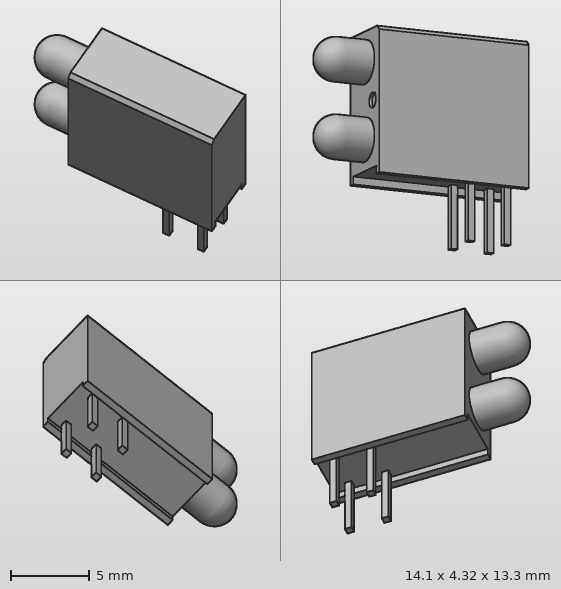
import cadquery as cq

housing_length = 10.56
housing_width = 4.32
housing_height = 9.65
edge_chamfer = 0.3

skirt_wall = 0.48
channel_depth = 0.5
channel_width = housing_width - 2 * skirt_wall

lamp_radius = 1.45
lamp_projection = 3.5
lamp_pitch = 5.08
lower_lamp_z = 2.55
lamp_heights = [lower_lamp_z, lower_lamp_z + lamp_pitch]

recess_diameter = 1.0
recess_depth = 0.2
recess_y = -1.16
recess_z = 4.92

pin_size = 0.46
pin_pitch = 2.54
pin_drop = 3.68
rear_pin_x = 9.36
pin_length = pin_drop + channel_depth
pin_positions = [
    (x, y)
    for x in (rear_pin_x - pin_pitch, rear_pin_x)
    for y in (-pin_pitch / 2, pin_pitch / 2)
]


def make_housing():
    """Block with one chamfered top edge, a bottom channel and a front recess."""
    block = (
        cq.Workplane("XY")
        .box(housing_length, housing_width, housing_height, centered=(False, True, False))
        .edges("<Y and >Z")
        .chamfer(edge_chamfer)
    )
    channel = cq.Workplane("XY").box(
        housing_length, channel_width, channel_depth, centered=(False, True, False)
    )
    recess = (
        cq.Workplane("YZ")
        .center(recess_y, recess_z)
        .circle(recess_diameter / 2)
        .extrude(recess_depth)
    )
    return block.cut(channel).cut(recess)


def make_lamp(height):
    """Lamp pointing toward -X, its axis at the given height."""
    dome_start_x = lamp_radius - lamp_projection
    half_profile = (
        cq.Workplane("XY")
        .lineTo(0, -lamp_radius)
        .lineTo(dome_start_x, -lamp_radius)
        .radiusArc((-lamp_projection, 0), lamp_radius)
        .close()
    )
    lamp = half_profile.revolve(360, (0, 0, 0), (1, 0, 0))
    return lamp.translate((0, 0, height))


def make_pin(x, y):
    """Straight square pin centred on the given X and Y."""
    return (
        cq.Workplane("XY", origin=(x, y, -pin_drop))
        .rect(pin_size, pin_size)
        .extrude(pin_length)
    )


housing = make_housing()
lamps = [make_lamp(height) for height in lamp_heights]
pins = [make_pin(x, y) for x, y in pin_positions]

result = cq.Compound.makeCompound([body.val() for body in [housing, *lamps, *pins]])